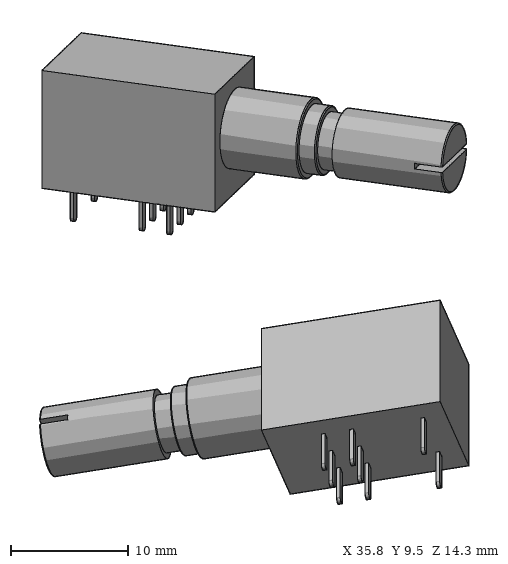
import cadquery as cq

total_length = 35.8
housing_length = 15.75
housing_width = 9.5
housing_height = 10.78

axis_height = 5.98
bushing_diameter = 7.0
bushing_length = 7.0
shaft_diameter = 6.0
collar_length = 1.5
groove_diameter = 5
groove_width = 1.5
edge_chamfer = 0.1
slot_width = 0.5
slot_depth = 2.5

pin_length = 3.5
pin_thickness = 0.32
pin_width = 0.75
pin_tip_radius = 0.35
pin_pitch = 2.5
rear_pin_x = 2.05
first_row_x = 8.3


def cylinder(start_x, diameter, length):
    """Cylinder on the shaft axis, starting at start_x and running toward +X."""
    return (
        cq.Workplane("YZ", origin=(start_x, 0, axis_height))
        .circle(diameter / 2)
        .extrude(length)
    )


def make_housing():
    return cq.Workplane("XY").box(
        housing_length, housing_width, housing_height, centered=(False, True, False)
    )


def make_shaft():
    collar_start = housing_length + bushing_length
    groove_start = collar_start + collar_length
    tip_start = groove_start + groove_width
    bushing = cylinder(housing_length, bushing_diameter, bushing_length)
    collar = cylinder(collar_start, shaft_diameter, collar_length)
    groove_core = cylinder(groove_start, groove_diameter, groove_width)
    tip = cylinder(tip_start, shaft_diameter, total_length - tip_start)

    shaft = groove_core
    for section in (bushing, collar, tip):
        shaft = shaft.union(section.faces(">X").chamfer(edge_chamfer))

    slot = cq.Workplane("XY").box(
        slot_depth, shaft_diameter, slot_width, centered=(False, True, True)
    )
    return shaft.cut(slot.translate((total_length - slot_depth, 0, axis_height)))


def make_pin(x, y):
    pin = (
        cq.Workplane("XY")
        .box(pin_thickness, pin_width, pin_length, centered=(True, True, False))
        .edges("<Z and |X")
        .fillet(pin_tip_radius)
    )
    return pin.translate((x, y, -pin_length))


pin_positions = [(rear_pin_x, -pin_pitch), (rear_pin_x, pin_pitch)]
for row_x in (first_row_x, first_row_x + pin_pitch):
    for pin_y in (-pin_pitch, 0, pin_pitch):
        pin_positions.append((row_x, pin_y))

result = make_housing().union(make_shaft())
for pin_x, pin_y in pin_positions:
    result = result.union(make_pin(pin_x, pin_y))